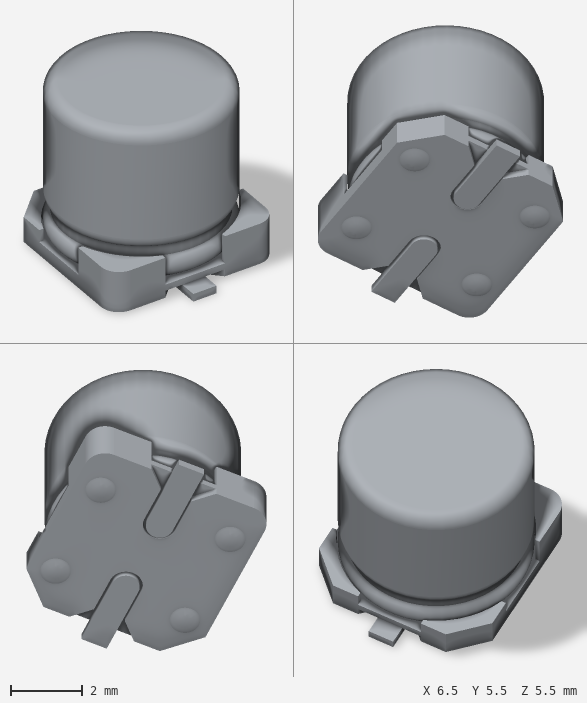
import cadquery as cq
import math

total_length = 6.5
base_width = 5.5
total_height = 5.5

base_bottom = 0.07
floor_top = 0.51
low_wall_top = 0.905
high_wall_top = 1.41
corner_chamfer = 0.96
corner_radius = 0.6
notch_width = 1.99
pocket_clearance = 0.045

can_radius = base_width / 2
neck_radius = 5.1 / 2
can_rounding = 0.4
rim_bottom = 1.95

lead_width = 0.775
lead_top = 0.255
lead_inner_x = 0.75
post_diameter = 0.55

channel_width = 0.95
channel_top = 0.305

foot_diameter = 0.85
foot_x = 1.51
foot_y = 1.99

half_width = base_width / 2
lead_end_x = lead_inner_x + lead_width / 2
channel_taper = (notch_width - channel_width) / 2
sides = (-1, 1)


def block(x_min, x_max, width, z_min, z_max):
    """Box between two X and two Z limits, centred on Y."""
    return (
        cq.Workplane("XY", origin=((x_min + x_max) / 2, 0, z_min))
        .box(x_max - x_min, width, z_max - z_min, centered=(True, True, False))
    )


def disc(x, radius, z_min, z_max):
    """Upright cylinder centred on the X axis."""
    return cq.Workplane("XY", origin=(x, 0, z_min)).circle(radius).extrude(z_max - z_min)


def make_channel(side):
    """Space for one lead: flared mouth, straight walls and a rounded inner end."""
    mouth_x = half_width - channel_taper
    half_channel = channel_width / 2
    half_mouth = notch_width / 2
    return (
        cq.Workplane("XY", origin=(0, 0, base_bottom))
        .moveTo(side * lead_end_x, half_channel)
        .lineTo(side * mouth_x, half_channel)
        .lineTo(side * half_width, half_mouth)
        .lineTo(side * half_width, -half_mouth)
        .lineTo(side * mouth_x, -half_channel)
        .lineTo(side * lead_end_x, -half_channel)
        .threePointArc((side * (lead_end_x - half_channel), 0), (side * lead_end_x, half_channel))
        .close()
        .extrude(channel_top - base_bottom)
    )


def make_foot():
    """Shallow spherical cap reaching from the base underside down to Z = 0."""
    foot_radius = foot_diameter / 2
    return (
        cq.Workplane("XZ")
        .lineTo(0, base_bottom)
        .lineTo(foot_radius, base_bottom)
        .radiusArc((0, 0), (foot_radius**2 + base_bottom**2) / (2 * base_bottom))
        .close()
        .revolve(360, (0, 0, 0), (0, 1, 0))
    )


def make_base():
    base = block(-half_width, half_width, base_width, base_bottom, high_wall_top)
    base = base.edges("|Z and <X").chamfer(corner_chamfer)
    base = base.edges("|Z and >X").fillet(corner_radius)

    base = base.cut(block(-half_width, 0, base_width, low_wall_top, high_wall_top))

    base = base.cut(disc(0, can_radius + pocket_clearance, floor_top, high_wall_top))
    base = base.cut(block(-half_width, half_width, notch_width, floor_top, high_wall_top))
    base = base.cut(block(-notch_width / 2, notch_width / 2, base_width, floor_top, high_wall_top))

    for side in sides:
        base = base.cut(make_channel(side))
        base = base.cut(disc(side * lead_end_x, post_diameter / 2, base_bottom, floor_top))

    for side_x in sides:
        for side_y in sides:
            base = base.union(make_foot().translate((side_x * foot_x, side_y * foot_y, 0)))
    return base


def make_can():
    """Revolved can: bead at the bottom, neck, then the body with a rounded top edge."""
    flat_radius = can_radius - can_rounding
    arc_reach = neck_radius - flat_radius
    arc_rise = math.sqrt(can_rounding**2 - arc_reach**2)
    bead_z = floor_top + can_rounding
    shoulder_z = total_height - can_rounding
    return (
        cq.Workplane("XZ")
        .moveTo(0, floor_top)
        .lineTo(flat_radius, floor_top)
        .threePointArc((can_radius, bead_z), (neck_radius, bead_z + arc_rise))
        .lineTo(neck_radius, rim_bottom - arc_rise)
        .radiusArc((can_radius, rim_bottom), -can_rounding)
        .lineTo(can_radius, shoulder_z)
        .radiusArc((flat_radius, total_height), -can_rounding)
        .lineTo(0, total_height)
        .close()
        .revolve(360, (0, 0, 0), (0, 1, 0))
    )


def make_lead(side):
    """Flat strip with a rounded inner end, and a round post rising to the can."""
    x_limits = sorted((side * lead_end_x, side * total_length / 2))
    strip = block(*x_limits, lead_width, 0, lead_top)
    rounded_end = disc(side * lead_end_x, lead_width / 2, 0, lead_top)
    post = disc(side * lead_end_x, post_diameter / 2, 0, floor_top)
    return strip.union(rounded_end).union(post)


base = make_base()
can = make_can()
leads = [make_lead(side) for side in sides]

result = cq.Compound.makeCompound([base.solids().val(), can.val(), *[lead.solids().val() for lead in leads]])